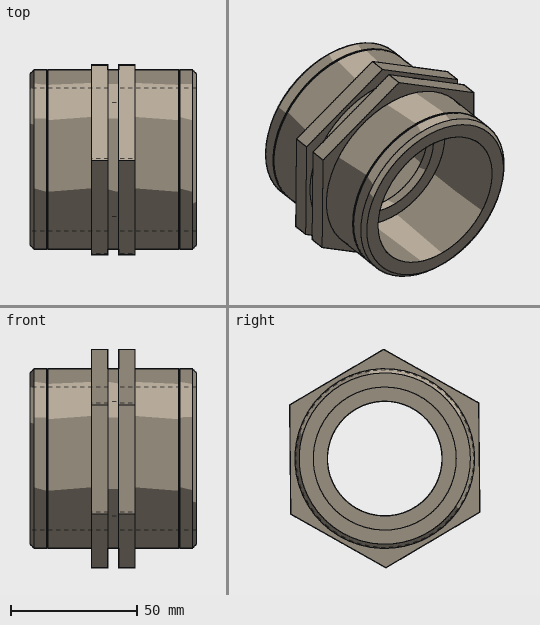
import cadquery as cq

body_length = 66.0
body_diameter = 71.25
end_chamfer = 1.7

counterbore_diameter = 56.66
bore_diameter = 45.33
bore_land_length = 4.0
counterbore_depth = (body_length - bore_land_length) / 2

groove_width = 0.5
groove_depth = 0.43
groove_centre_from_end = 6.85

collar_sides = 6
collar_across_corners = 86.6
collar_thickness = 6.6
collar_gap = 4.2
collar_turn = 0.6

end_signs = (-1, 1)


def cylinder_along_x(diameter, length, centre_x=0.0):
    start = cq.Workplane("YZ").workplane(offset=centre_x - length / 2)
    return start.circle(diameter / 2).extrude(length)


def make_body():
    return cylinder_along_x(body_diameter, body_length).edges().chamfer(end_chamfer)


def make_collar(side):
    centre_x = side * (collar_gap + collar_thickness) / 2
    start = cq.Workplane("YZ").workplane(offset=centre_x - collar_thickness / 2)
    collar = start.polygon(collar_sides, collar_across_corners).extrude(collar_thickness)
    return collar.rotate((0, 0, 0), (1, 0, 0), 90 + collar_turn)


def make_groove_ring(side):
    centre_x = side * (body_length / 2 - groove_centre_from_end)
    surface_radius = body_diameter / 2
    v_profile = [
        (centre_x - groove_width / 2, surface_radius),
        (centre_x, surface_radius - groove_depth),
        (centre_x + groove_width / 2, surface_radius),
    ]
    return cq.Workplane("XY").polyline(v_profile).close().revolve(360, (0, 0, 0), (1, 0, 0))


def make_counterbore(side):
    centre_x = side * (body_length - counterbore_depth) / 2
    return cylinder_along_x(counterbore_diameter, counterbore_depth, centre_x)


result = make_body()
for end_sign in end_signs:
    result = result.union(make_collar(end_sign))
for end_sign in end_signs:
    result = result.cut(make_groove_ring(end_sign))
    result = result.cut(make_counterbore(end_sign))
result = result.cut(cylinder_along_x(bore_diameter, body_length))